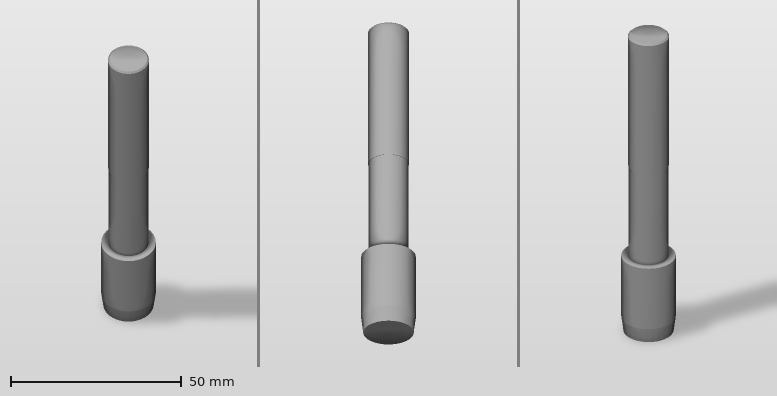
import cadquery as cq

total_height = 100.0
collar_height = 25.2
collar_radius = 8.0
taper_height = 4.7
tip_radius = 7.4

seat_radius = 6.8
shank_radius = 11.7 / 2
guide_radius = 6.0
guide_start = 56.0
end_chamfer = 0.5


def revolve_profile(points):
    """Turn a closed (radius, height) outline about the Z axis."""
    return cq.Workplane("XZ").polyline(points).close().revolve(360, (0, 0), (0, 1))


def make_sleeve():
    """Collar with a tapered lower end and a plain through bore."""
    return revolve_profile([
        (seat_radius, 0),
        (tip_radius, 0),
        (collar_radius, taper_height),
        (collar_radius, collar_height),
        (seat_radius, collar_height),
    ])


def make_pin():
    """Pin with a seat flush with the sleeve, a relieved shank and a chamfered guide end."""
    return revolve_profile([
        (0, 0),
        (seat_radius, 0),
        (seat_radius, collar_height),
        (shank_radius, collar_height),
        (shank_radius, guide_start),
        (guide_radius, guide_start),
        (guide_radius, total_height - end_chamfer),
        (guide_radius - end_chamfer, total_height),
        (0, total_height),
    ])


sleeve = make_sleeve()
pin = make_pin()

result = cq.Compound.makeCompound([sleeve.val(), pin.val()])